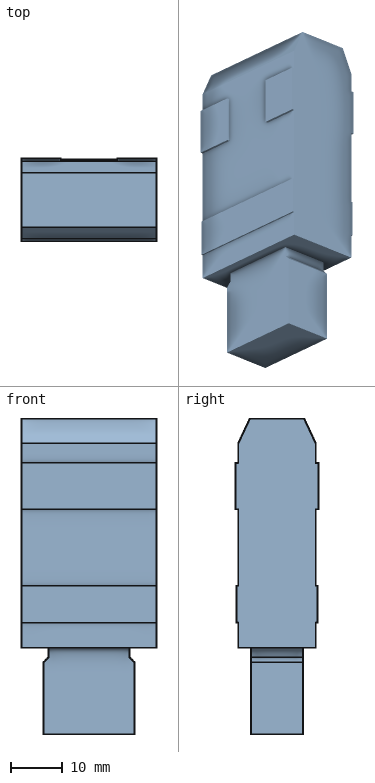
import cadquery as cq

total_height = 60.8
body_width = 26.0
band_depth_upper = 16.0

body_depth = 14.95
body_bottom = 16.65
slope_bottom = 56.05
top_flat_depth = 10.5

upper_band_bottom = 43.35
upper_band_top = 52.3
lower_band_bottom = 21.5
lower_band_top = 28.65
band_depth_lower = 15.6
back_gap_width = 10.8

plug_width = 17.6
plug_depth = 10.05
neck_width = 15.7
shoulder_bottom = 13.85
shoulder_top = shoulder_bottom + (plug_width - neck_width) / 2


def box_between(width, depth, bottom, top):
    """Box centred on the Z axis, spanning bottom to top."""
    return cq.Workplane("XY", origin=(0, 0, bottom)).rect(width, depth).extrude(top - bottom)


def make_body():
    half_depth = body_depth / 2
    half_flat = top_flat_depth / 2
    profile = [
        (-half_depth, body_bottom),
        (half_depth, body_bottom),
        (half_depth, slope_bottom),
        (half_flat, total_height),
        (-half_flat, total_height),
        (-half_depth, slope_bottom),
    ]
    return cq.Workplane("YZ").polyline(profile).close().extrude(body_width / 2, both=True)


def make_upper_bands():
    """Full-width band in front; the back one is split by a central gap flush with the body."""
    bands = box_between(body_width, band_depth_upper, upper_band_bottom, upper_band_top)
    gap = (
        box_between(back_gap_width, body_depth, upper_band_bottom, upper_band_top)
        .translate((0, body_depth, 0))
    )
    return bands.cut(gap)


def make_lower_bands():
    return box_between(body_width, band_depth_lower, lower_band_bottom, lower_band_top)


def make_plug():
    half_plug = plug_width / 2
    half_neck = neck_width / 2
    outline = [
        (-half_plug, 0),
        (half_plug, 0),
        (half_plug, shoulder_bottom),
        (half_neck, shoulder_top),
        (half_neck, body_bottom),
        (-half_neck, body_bottom),
        (-half_neck, shoulder_top),
        (-half_plug, shoulder_bottom),
    ]
    return cq.Workplane("XZ").polyline(outline).close().extrude(plug_depth / 2, both=True)


result = make_body().union(make_upper_bands()).union(make_lower_bands()).union(make_plug())